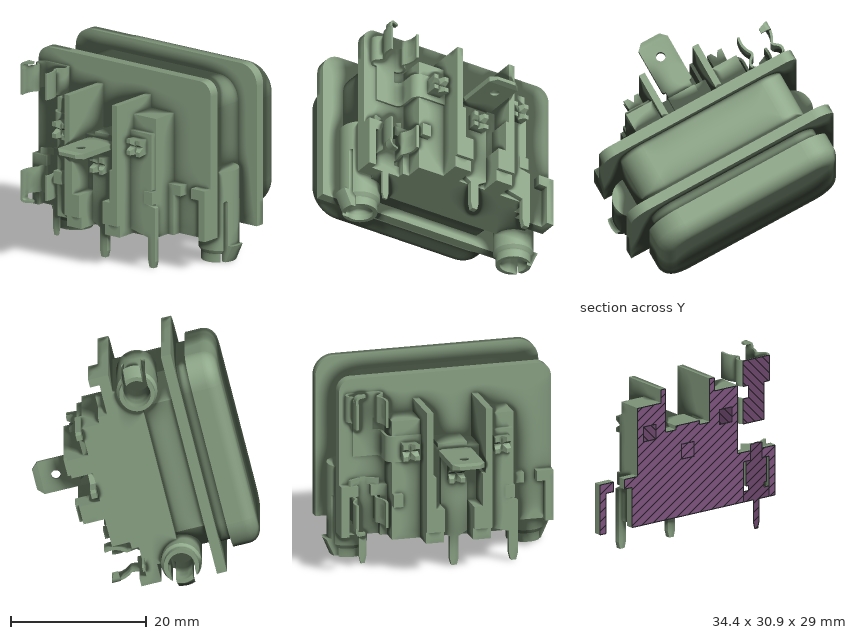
import cadquery as cq
import math


SHELL_CENTRE_Z = 11.95
CAP_W, CAP_H, CAP_R = 29.8, 21.9, 4.5
CAP_FRONT_Y, CAP_BACK_Y = 17.3, 12.9
CAP_ROUND = 2.0
NECK_W, NECK_H, NECK_R = 27.4, 19.5, 3.5
FLANGE_W, FLANGE_H, FLANGE_R = 34.1, 24.5, 3.0
FLANGE_FRONT_Y, FLANGE_BACK_Y = 11.3, 9.8
BODY_W, BODY_H, BODY_R = 27.0, 20.3, 3.5
BODY_BEVEL = 3.6
PLATE_W, PLATE_H, PLATE_R, PLATE_T = 32.4, 24.0, 2.0, 1.6

POST_Y, POST_R = 5.3, 3.0
POST_TOP_Z, POST_END_Z = 9.55, -4.42
POST_STEP_Z = -2.5
POST_TIP_R, POST_TIP_Z = 2.6, -3.1
POST_BORE_R, POST_BORE_TOP_Z = 2.0, 5.0
ARM_W, ARM_SLOT = 2.5, 0.6
ARM_SLOT_ROUND = 0.29
BARB_TIP_X, BARB_Z = 17.2, -1.8

BLOCK_HALF, BLOCK_H = 9.27, 18.25
FACE_Y = -4.18
EARTH_TOP_Z = 13.6
LUG_HALF, LUG_TOP_Z = 2.22, 14.2
RIB_OUTER, RIB_Y, RIB_TOP_Z = 4.98, -8.0, 20.3
RIB_STEPS = [(4.02, RIB_TOP_Z), (3.55, 10.27), (2.23, 5.25)]
RIB_FOOT_Z, RIB_FOOT_Y = 1.8, -7.4
BOSS_INNER, BOSS_Y, BOSS_Z0, BOSS_Z1 = 7.82, -5.2, 5.25, 7.17

CLIP_X = 12.67
SEAT_H, SEAT_T = 7.76, 1.43
SEAT_HALF, SEAT_POCKET_H = 2.34, 6.2
SEAT_SLOT_HALF = 0.98

PIN_SPACING, PIN_Z, EARTH_PIN_Z = 7.0, 14.0, 10.0
PIN_SIZE, PIN_FLARE = 2.2, 2.45
PIN_END_Y, PIN_FLARE_Y = -6.8, -4.78
PIN_SPLIT_W, PIN_SPLIT_DEPTH = 1.1, 0.9

SHEET = 0.36
THICK = 0.82
TAG_Z, TAG_TAPER_Z = -4.42, -3.4
PLATE_TERMINAL_Z0, PLATE_TERMINAL_Z1 = 12.06, 16.0


def box(x0, x1, y0, y1, z0, z1):
    return cq.Workplane("XY").box(x1 - x0, y1 - y0, z1 - z0, centered=False).translate((x0, y0, z0))


def both_sides(shape):
    return shape.union(shape.mirror("YZ"))


def rear_prism(points, y_rear, thickness):
    """Plate outlined in X and Z whose rear face is at y_rear."""
    return cq.Workplane("XZ", origin=(0, y_rear, 0)).polyline(points).close().extrude(-thickness)


def rounded_panel(width, z0, z1, radius, y0, y1, corners):
    return box(-width / 2, width / 2, y0, y1, z0, z1).edges(corners).fillet(radius)


def strip(plane, points, radii, low, high, thickness=SHEET):
    """Bent sheet strip: centre line through points with rounded bends, spanning low..high off the plane."""
    corners = [cq.Vector(*p) for p in points]
    path = cq.Workplane(plane).moveTo(*points[0])
    for before, corner, after, radius in zip(corners, corners[1:], corners[2:], radii):
        u_in = (before - corner).normalized()
        u_out = (after - corner).normalized()
        half_angle = u_in.getAngle(u_out) / 2
        setback = radius / math.tan(half_angle)
        start = corner + u_in * setback
        end = corner + u_out * setback
        bisector = (u_in + u_out).normalized()
        middle = corner + bisector * (radius / math.sin(half_angle) - radius)
        path = path.lineTo(start.x, start.y)
        path = path.threePointArc((middle.x, middle.y), (end.x, end.y))
    path = path.lineTo(*points[-1])
    tangent = plane.toWorldCoords(points[1]) - plane.toWorldCoords(points[0])
    section = cq.Plane(origin=plane.toWorldCoords(points[0]), xDir=plane.zDir, normal=tangent)
    profile = cq.Workplane(section).center((low + high) / 2, 0).rect(high - low, thickness)
    return profile.sweep(path.wire())


def shell():
    def centred(width, height, radius, y0, y1, corners="|Y"):
        z0 = SHELL_CENTRE_Z - height / 2
        return rounded_panel(width, z0, z0 + height, radius, y0, y1, corners)

    cap = centred(CAP_W, CAP_H, CAP_R, CAP_BACK_Y, CAP_FRONT_Y).faces(">Y").edges().fillet(CAP_ROUND)
    neck = centred(NECK_W, NECK_H, NECK_R, FLANGE_FRONT_Y, CAP_BACK_Y)
    body = centred(BODY_W, BODY_H, BODY_R, PLATE_T, FLANGE_BACK_Y, "|Y and >Z")
    body = body.edges("|Y and <Z").chamfer(BODY_BEVEL)
    flange = rounded_panel(FLANGE_W, 0, FLANGE_H, FLANGE_R, FLANGE_BACK_Y, FLANGE_FRONT_Y, "|Y and >Z")
    plate = rounded_panel(PLATE_W, 0, PLATE_H, PLATE_R, 0, PLATE_T, "|Y and >Z")
    web_top = SHELL_CENTRE_Z - BODY_H / 2 + BODY_BEVEL
    web = box(-BODY_W / 2, BODY_W / 2, PLATE_T, POST_Y, 0, web_top)
    return cap.union(neck).union(flange).union(body).union(plate).union(web)


def post_hollow(post_x):
    """Bore in the lower end of a post, with two round-topped slots that free its outer arm."""
    bore_h = POST_BORE_TOP_Z - POST_END_Z
    hollow = cq.Workplane("XY", origin=(post_x, POST_Y, POST_END_Z)).circle(POST_BORE_R).extrude(bore_h)
    offset = (ARM_W + ARM_SLOT) / 2
    for y in (POST_Y - offset, POST_Y + offset):
        slot = box(0, POST_R, y - ARM_SLOT / 2, y + ARM_SLOT / 2, POST_END_Z, POST_BORE_TOP_Z)
        slot = slot.edges("|X and >Z").fillet(ARM_SLOT_ROUND)
        hollow = hollow.union(slot.translate((post_x, 0, 0)))
    return hollow


def post(post_x):
    """Snap post on the +X side; its outer arm ends in a barb."""
    outline = [(0, POST_END_Z), (POST_TIP_R, POST_END_Z), (POST_TIP_R, POST_TIP_Z),
               (POST_R, POST_STEP_Z), (POST_R, POST_TOP_Z), (0, POST_TOP_Z)]
    turned = cq.Workplane("XZ").polyline(outline).close().revolve(360, (0, 0), (0, 1))
    barb_outline = [(POST_BORE_R, POST_END_Z), (POST_TIP_R, POST_END_Z),
                    (BARB_TIP_X - post_x, BARB_Z), (POST_BORE_R, BARB_Z)]
    barb = cq.Workplane("XZ").polyline(barb_outline).close().revolve(360, (0, 0), (0, 1))
    barb = barb.intersect(box(0, BARB_TIP_X, -ARM_W / 2, ARM_W / 2, POST_END_Z, BARB_Z))
    return turned.union(barb).translate((post_x, POST_Y, 0))


def terminal_block():
    block = box(-BLOCK_HALF, BLOCK_HALF, FACE_Y, 0, 0, BLOCK_H)
    block = block.cut(box(-RIB_OUTER, RIB_OUTER, FACE_Y, 0, EARTH_TOP_Z, BLOCK_H))
    block = block.union(box(-LUG_HALF, LUG_HALF, FACE_Y, 0, EARTH_TOP_Z, LUG_TOP_Z))
    side = box(BOSS_INNER, BLOCK_HALF, BOSS_Y, FACE_Y, BOSS_Z0, BOSS_Z1)
    for inner, top in RIB_STEPS:
        side = side.union(box(inner, RIB_OUTER, RIB_Y, FACE_Y, 0, top))
    side = side.union(box(RIB_STEPS[0][0], RIB_OUTER, FACE_Y, 0, 0, RIB_TOP_Z))
    side = side.cut(box(0, RIB_OUTER, RIB_Y, RIB_FOOT_Y, 0, RIB_FOOT_Z))
    return block.union(both_sides(side))


def fuse_seat():
    """Pad on the +X side with a T-shaped pocket open at top and bottom."""
    pad = box(BLOCK_HALF, PLATE_W / 2, -SEAT_T, 0, 0, SEAT_H)
    pad = pad.cut(box(CLIP_X - SEAT_HALF, CLIP_X + SEAT_HALF, -SEAT_T, 0, 0, SEAT_POCKET_H))
    return pad.cut(box(CLIP_X - SEAT_SLOT_HALF, CLIP_X + SEAT_SLOT_HALF, -SEAT_T, 0, 0, SEAT_H))


def make_housing():
    post_x = BODY_W / 2
    body = shell().union(both_sides(post(post_x))).cut(both_sides(post_hollow(post_x)))
    return body.union(terminal_block()).union(both_sides(fuse_seat()))


def make_pin(x, z):
    """Square pin whose rear end is split crosswise and spread into four petals."""
    flare_length = PIN_FLARE_Y - PIN_END_Y
    shank = cq.Workplane("XZ").rect(PIN_SIZE, PIN_SIZE).extrude(-PIN_FLARE_Y)
    flare = (cq.Workplane("XZ", origin=(0, PIN_FLARE_Y, 0)).rect(PIN_SIZE, PIN_SIZE)
             .workplane(offset=flare_length).rect(PIN_FLARE, PIN_FLARE).loft(ruled=True))
    vee = [(-PIN_SPLIT_W / 2, PIN_END_Y), (PIN_SPLIT_W / 2, PIN_END_Y), (0, PIN_END_Y + PIN_SPLIT_DEPTH)]
    split = cq.Workplane("XY").polyline(vee).close().extrude(PIN_FLARE, both=True)
    crossing = split.rotate((0, 0, 0), (0, 1, 0), 90)
    return shank.union(flare).cut(split).cut(crossing).translate((x, 0, z))


def make_earth():
    strip_half, tag_half, tip_half = 1.98, 0.66, 0.4
    shoulder_z = 0.8
    tab_half, tab_end, tab_end_half = 2.46, -13.6, 1.55
    taper_y, neck_y, neck_corner = -12.65, -5.3, 0.2
    hole_y, hole_d = -10.37, 1.4
    bend_r = 0.5
    edge_bevel = 0.15
    mid_y = FACE_Y - THICK / 2
    mid_z = EARTH_TOP_Z - THICK / 2
    side_plane = cq.Plane(origin=(0, 0, 0), xDir=(0, 1, 0), normal=(1, 0, 0))
    bent = strip(side_plane, [(mid_y, shoulder_z), (mid_y, mid_z), (neck_y, mid_z)], [bend_r],
                 -strip_half, strip_half, THICK)
    tag_side = [(strip_half, shoulder_z), (tag_half, 0), (tag_half, TAG_TAPER_Z), (tip_half, TAG_Z)]
    tag_outline = tag_side + [(-x, z) for x, z in reversed(tag_side)]
    tag = rear_prism(tag_outline, FACE_Y - THICK, THICK)
    half = [(0, neck_y), (tab_half - neck_corner, neck_y), (tab_half, neck_y - neck_corner),
            (tab_half, taper_y), (tab_end_half, tab_end), (0, tab_end)]
    tab = cq.Workplane("XY", origin=(0, 0, mid_z - THICK / 2)).polyline(half).close().extrude(THICK)
    tab = both_sides(tab)
    for side in (1, -1):
        face_z = mid_z + side * THICK / 2
        wedge = [(taper_y, face_z), (tab_end, face_z), (tab_end, face_z - side * edge_bevel)]
        tab = tab.cut(cq.Workplane("YZ").polyline(wedge).close().extrude(tab_half, both=True))
    hole = cq.Workplane("XY", origin=(0, hole_y, 0)).circle(hole_d / 2).extrude(EARTH_TOP_Z)
    return bent.union(tag).union(tab.cut(hole))


def make_neutral():
    edge_x, tag_x0, tag_x1 = 9.02, 8.42, 9.73
    tip_inset = 0.25
    notch_rise = 0.2
    notch_end_z = 4.78
    foot_z0, foot_z1 = 0.1, 0.96
    outline = [(RIB_OUTER, PLATE_TERMINAL_Z1), (edge_x, PLATE_TERMINAL_Z1), (edge_x, BOSS_Z1 + notch_rise),
               (BOSS_INNER, BOSS_Z1), (BOSS_INNER, BOSS_Z0), (tag_x1, notch_end_z), (tag_x1, TAG_TAPER_Z),
               (tag_x1 - tip_inset, TAG_Z), (tag_x0 + tip_inset, TAG_Z), (tag_x0, TAG_TAPER_Z),
               (tag_x0, foot_z0), (RIB_OUTER, foot_z1)]
    return rear_prism(outline, FACE_Y - THICK, THICK)


BASE_Y = -SHEET / 2
BASE_HALF = 1.49
PINCH, HEEL, JAW_END = (1.52, -2.41), (2.55, -3.9), (2.26, -5.61)
PINCH_R, HEEL_R = 0.45, 3.2
HOOK_Y0, HOOK_Y1 = -5.61, -4.29
CLIP_PLANE = cq.Plane(origin=(-CLIP_X, 0, 0), xDir=(1, 0, 0), normal=(0, 0, 1))
CLIP_FRONT = cq.Plane(origin=(-CLIP_X, 0, 0), xDir=(1, 0, 0), normal=(0, -1, 0))


def jaws(corner, corner_r, z0, z1):
    """Pair of spring jaws joined by the base, mirrored about the fuse axis."""
    right = [corner, PINCH, HEEL, JAW_END]
    left = [(-x, y) for x, y in reversed(right)]
    radii = [HEEL_R, PINCH_R, corner_r]
    return strip(CLIP_PLANE, left + right, radii + radii[::-1], z0, z1)


def hook(jaw_z, direction):
    """Fuse stop bent inwards from the edge of the outer jaw at jaw_z, pointing up (1) or down (-1)."""
    jaw_x, reach_x, rise, bend_r = -2.33, -0.88, 0.9, 0.55
    overlap = 0.2
    slant_run = 0.6
    points = [(jaw_x, jaw_z - direction * overlap), (jaw_x, jaw_z + direction * rise),
              (reach_x, jaw_z + direction * rise)]
    bent = strip(CLIP_FRONT, points, [bend_r], -HOOK_Y1, -HOOK_Y0)
    slant = [(jaw_x, HOOK_Y0), (reach_x, HOOK_Y0), (reach_x, HOOK_Y0 + slant_run)]
    corner = cq.Workplane(CLIP_PLANE).polyline(slant).close().extrude(jaw_z + 2 * rise, both=True)
    return bent.cut(corner)


def make_line_clip():
    """Upper clip with a tail that wraps round the block to the line pin."""
    z0, z1 = 17.85, 21.85
    leg_x, bend_in_r, bend_out_r = 2.71, 1.0, 1.15
    corner_x, corner_r = 4.37, 0.9
    clip = jaws((corner_x, BASE_Y), corner_r, z0, z1).union(hook(z1, 1))
    tail = box(-CLIP_X - BASE_HALF, -CLIP_X + BASE_HALF, -SHEET, 0, PLATE_TERMINAL_Z0, z1)
    face_y = FACE_Y - SHEET / 2
    arm = strip(CLIP_PLANE, [(0, BASE_Y), (leg_x, BASE_Y), (leg_x, face_y), (CLIP_X - RIB_OUTER, face_y)],
                [bend_in_r, bend_out_r], PLATE_TERMINAL_Z0, PLATE_TERMINAL_Z1)
    return clip.union(tail).union(arm)


def make_fuse_clip():
    """Lower clip with its own solder tag; wings above the seat keep it in the slot."""
    z0, z1 = 2.39, SEAT_POCKET_H
    jaw_half, corner_r = 1.85, 0.37
    foot_h = 1.67
    tongue_half, tongue_top = 0.43, 8.82
    wing_top, wing_tip = 8.72, (2.25, -1.12)
    tag_half, tip_half, tag_z = 0.55, 0.3, -4.5
    clip = jaws((jaw_half, BASE_Y), corner_r, z0, z1).union(hook(z0, -1))

    def sheet(half, bottom, top):
        return box(-CLIP_X - half, -CLIP_X + half, -SHEET, 0, bottom, top)

    clip = clip.union(sheet(SEAT_HALF, 0, foot_h)).union(sheet(BASE_HALF, 0, SEAT_POCKET_H))
    clip = clip.union(sheet(SEAT_SLOT_HALF, SEAT_POCKET_H, SEAT_H))
    clip = clip.union(sheet(tongue_half, SEAT_H, tongue_top))
    bend = (tongue_half, BASE_Y)
    wing_bend_r = 0.5
    wing_line = [(-wing_tip[0], wing_tip[1]), (-bend[0], bend[1]), bend, wing_tip]
    clip = clip.union(strip(CLIP_PLANE, wing_line, [wing_bend_r, wing_bend_r], SEAT_H, wing_top))
    tag_side = [(tag_half, 0), (tag_half, TAG_TAPER_Z), (tip_half, tag_z)]
    tag_outline = tag_side + [(-x, z) for x, z in reversed(tag_side)]
    tag = rear_prism(tag_outline, -SHEET, SHEET).translate((-CLIP_X, 0, 0))
    return clip.union(tag)


pins = [make_pin(-PIN_SPACING, PIN_Z), make_pin(0, EARTH_PIN_Z), make_pin(PIN_SPACING, PIN_Z)]
line_clip, earth, neutral = [
    terminal.cut(pin) for terminal, pin in zip((make_line_clip(), make_earth(), make_neutral()), pins)]
fuse_clip = make_fuse_clip()

housing = make_housing()
metal_parts = [line_clip, earth, neutral, fuse_clip] + pins
for part in metal_parts:
    housing = housing.cut(part)

result = cq.Compound.makeCompound([part.solids().val() for part in [housing] + metal_parts])